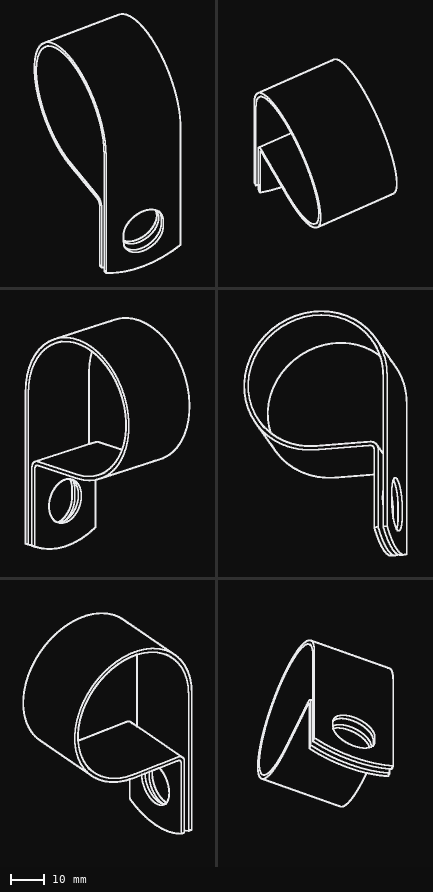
import cadquery as cq
import math

outer_diameter = 43.7
strap_width = 25.4
total_height = 72.6
thickness = 1.2
leg_gap = 1.5
bend_inner_radius = 1.2
hole_diameter = 13.5
slot_length = 16.0
hole_height = 14.3
end_arc_height = 3.0

outer_radius = outer_diameter / 2
inner_radius = outer_radius - thickness
bend_outer_radius = bend_inner_radius + thickness
leg_bottom = outer_radius - total_height
short_leg_outer = inner_radius - leg_gap
short_leg_inner = short_leg_outer - thickness
bend_x = short_leg_outer - bend_outer_radius
bend_z = -inner_radius - bend_outer_radius
half_width = strap_width / 2


def make_strap():
    """Bent strip: long leg, loop, flat shelf and short leg, extruded along Y."""
    diagonal = math.sqrt(0.5)
    profile = (
        cq.Workplane("XZ")
        .moveTo(outer_radius, leg_bottom)
        .lineTo(outer_radius, 0)
        .threePointArc((-outer_radius * diagonal, outer_radius * diagonal), (0, -outer_radius))
        .lineTo(bend_x, -outer_radius)
        .threePointArc(
            (bend_x + bend_inner_radius * diagonal, bend_z + bend_inner_radius * diagonal),
            (short_leg_inner, bend_z),
        )
        .lineTo(short_leg_inner, leg_bottom)
        .lineTo(short_leg_outer, leg_bottom)
        .lineTo(short_leg_outer, bend_z)
        .threePointArc(
            (bend_x + bend_outer_radius * diagonal, bend_z + bend_outer_radius * diagonal),
            (bend_x, -inner_radius),
        )
        .lineTo(0, -inner_radius)
        .threePointArc((-inner_radius * diagonal, inner_radius * diagonal), (inner_radius, 0))
        .lineTo(inner_radius, leg_bottom)
        .close()
    )
    return profile.extrude(half_width, both=True)


def make_end_envelope():
    """Block around the whole strap whose lower edge is the rounded leg end."""
    corner_z = leg_bottom + end_arc_height
    return (
        cq.Workplane("YZ")
        .moveTo(-half_width, outer_radius)
        .lineTo(-half_width, corner_z)
        .threePointArc((0, leg_bottom), (half_width, corner_z))
        .lineTo(half_width, outer_radius)
        .close()
        .extrude(outer_radius, both=True)
    )


def leg_workplane(inner_face_x):
    """Plane on a leg's inner face, centred on the bolt axis; its local X points along Y."""
    return cq.Workplane("YZ", origin=(inner_face_x, 0, leg_bottom + hole_height))


def make_short_leg_hole():
    """Round bolt hole through the short leg."""
    return leg_workplane(short_leg_inner).circle(hole_diameter / 2).extrude(thickness)


def make_long_leg_slot():
    """Vertical slot through the long leg, as wide as the bolt hole."""
    return leg_workplane(inner_radius).slot2D(slot_length, hole_diameter, 90).extrude(thickness)


result = (
    make_strap()
    .intersect(make_end_envelope())
    .cut(make_short_leg_hole())
    .cut(make_long_leg_slot())
)